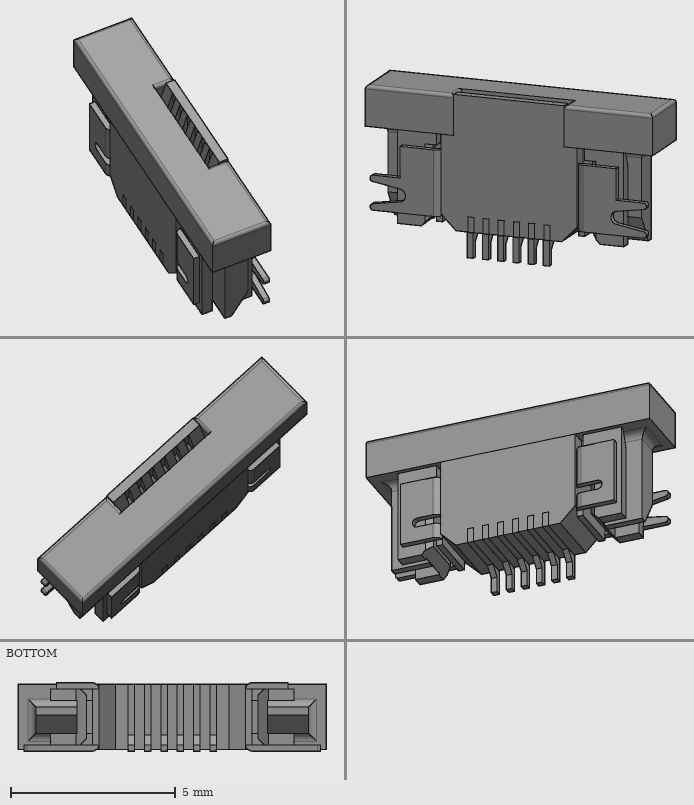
import cadquery as cq
import math


TOTAL_DEPTH = 2.1
CORE_HALF_DEPTH = 1.0
HOUSING_TOP = 4.305
SHOULDER_Z = 3.01

BAR_LENGTH = 9.4
BAR_ROUND = 0.11
NOTCH_FRONT_Y = 0.3
NOTCH_HALF_WIDTH = 1.805
LEG_OUTER_X = 4.155
LEG_FRONT_Y = -0.3
LEG_FLARE = 0.24
LEG_CUT_DEPTH = 0.56
LEG_CUT_HEIGHT = 0.865

CORE_HALF_WIDTH = 2.23
CORE_CHAMFER = 0.5
WALL_FRONT_Y = 0.7
GROOVE_RISE = 0.48

WING_OUTER_X = 3.7
WING_INNER_X = 2.61
WING_CHAMFER = 0.32
WING_BEVEL_WIDTH = 0.19
WING_BEVEL_DEPTH = 0.19
SLOT_FLOOR_X = 2.9
SLOT_HALF_DEPTH = 0.5
SLOT_LEAD_HEIGHT = 0.545
RECESS_Z = 2.18
RECESS_DEPTH = 0.09
OVERHANG_Z = 2.6

SHEET = 0.2
TAB_OUTER_X = 3.53
TAB_BOTTOM = 0.395
TAB_TOP = 2.5
TAB_BEND = 0.23
WEB_BOTTOM = 0.2
TAB_SLOT_END_X = 3.14
TAB_SLOT_Z = 1.04
TAB_SLOT_WIDTH = 0.31
PRONG_TIP_X = 4.52
PRONG_TOP = 1.5
PRONG_TIP_ROUND = 0.09
PRONG_MOUTH = 0.73
PRONG_THROAT = 0.4

CONTACT_COUNT = 6
CONTACT_PITCH = 0.5
CONTACT_WIDTH = 0.2
CONTACT_HEIGHT = 0.48
TAIL_BOTTOM = -0.8
GUSSET = 0.3

TAB_FACE_Y = TOTAL_DEPTH / 2
WING_HALF_DEPTH = TAB_FACE_Y - SHEET
WEB_OUTER_X = CORE_HALF_WIDTH + SHEET
WEB_TOP = TAB_SLOT_Z - TAB_SLOT_WIDTH / 2
CONTACT_XS = [(i - (CONTACT_COUNT - 1) / 2) * CONTACT_PITCH for i in range(CONTACT_COUNT)]


def block(x0, x1, y0, y1, z0, z1):
    """Box between two opposite corners."""
    return cq.Workplane("XY").box(x1 - x0, y1 - y0, z1 - z0, centered=False).translate((x0, y0, z0))


def extrude_along_x(points, x0, x1):
    """Prism with a (Y, Z) outline between two X positions."""
    return cq.Workplane("YZ").workplane(offset=x0).polyline(points).close().extrude(x1 - x0)


def extrude_along_y(points, y0, y1):
    """Prism with an (X, Z) outline between two Y positions."""
    return cq.Workplane("XZ").workplane(offset=-y1).polyline(points).close().extrude(y1 - y0)


def mirror_x(body):
    """The matching shape on the other side of X = 0."""
    return body.mirror("YZ")


def make_bar():
    half = BAR_LENGTH / 2
    bar = block(-half, half, -CORE_HALF_DEPTH, CORE_HALF_DEPTH, SHOULDER_Z, HOUSING_TOP)
    notch = block(-NOTCH_HALF_WIDTH, NOTCH_HALF_WIDTH, NOTCH_FRONT_Y, CORE_HALF_DEPTH,
                  SHOULDER_Z, HOUSING_TOP)
    bar = bar.cut(notch)
    notch_front_edge = cq.selectors.NearestToPointSelector((0, NOTCH_FRONT_Y, HOUSING_TOP))
    rim = bar.faces(">Z").edges(cq.selectors.InverseSelector(notch_front_edge))
    return rim.fillet(BAR_ROUND)


def make_left_leg():
    leg = block(-LEG_OUTER_X, -SLOT_FLOOR_X, LEG_FRONT_Y, SLOT_HALF_DEPTH, 0, SHOULDER_Z)
    foot_cut = [(SLOT_HALF_DEPTH, 0), (SLOT_HALF_DEPTH, LEG_CUT_HEIGHT),
                (SLOT_HALF_DEPTH - LEG_CUT_DEPTH, 0)]
    return leg.cut(extrude_along_x(foot_cut, -LEG_OUTER_X, -SLOT_FLOOR_X))


def make_slider():
    left_leg = make_left_leg()
    slider = make_bar().union(left_leg).union(mirror_x(left_leg))
    margin = 0.01
    for side in (-1, 1):
        outer_x = side * (LEG_OUTER_X + margin)
        inner_x = side * (SLOT_FLOOR_X + margin)
        root = cq.selectors.BoxSelector(
            (min(outer_x, inner_x), LEG_FRONT_Y - margin, SHOULDER_Z - margin),
            (max(outer_x, inner_x), SLOT_HALF_DEPTH + margin, SHOULDER_Z + margin))
        slider = slider.edges(root).fillet(LEG_FLARE)
    return slider


def make_core():
    core = block(-CORE_HALF_WIDTH, CORE_HALF_WIDTH, -CORE_HALF_DEPTH, CORE_HALF_DEPTH, 0, SHOULDER_Z)
    return core.edges("|Y and <Z").chamfer(CORE_CHAMFER)


def make_rear_wall():
    outline = [(CORE_HALF_DEPTH, SHOULDER_Z), (CORE_HALF_DEPTH, HOUSING_TOP),
               (WALL_FRONT_Y, HOUSING_TOP), (NOTCH_FRONT_Y, SHOULDER_Z)]
    wall = extrude_along_x(outline, -NOTCH_HALF_WIDTH, NOTCH_HALF_WIDTH)
    groove = [(WALL_FRONT_Y, HOUSING_TOP), (WALL_FRONT_Y, SHOULDER_Z + GROOVE_RISE),
              (NOTCH_FRONT_Y, SHOULDER_Z)]
    for x in CONTACT_XS:
        wall = wall.cut(extrude_along_x(groove, x - CONTACT_WIDTH / 2, x + CONTACT_WIDTH / 2))
    return wall


def make_left_wing():
    corner_x = -WING_INNER_X - WING_CHAMFER
    outline = [(-WING_OUTER_X, 0), (corner_x, 0), (-WING_INNER_X, WING_CHAMFER),
               (-WING_INNER_X, OVERHANG_Z), (-WEB_OUTER_X, OVERHANG_Z),
               (-WEB_OUTER_X, SHOULDER_Z), (-WING_OUTER_X, SHOULDER_Z)]
    wing = extrude_along_y(outline, -WING_HALF_DEPTH, WING_HALF_DEPTH)

    for side in (-1, 1):
        face_y = side * WING_HALF_DEPTH
        bevel = [(-WING_INNER_X, face_y), (-WING_INNER_X - WING_BEVEL_WIDTH, face_y),
                 (-WING_INNER_X, face_y - side * WING_BEVEL_DEPTH)]
        wing = wing.cut(cq.Workplane("XY").polyline(bevel).close().extrude(OVERHANG_Z))

    mouth_half_depth = SLOT_HALF_DEPTH + LEG_FLARE
    lead_z = SHOULDER_Z - SLOT_LEAD_HEIGHT
    slot = [(-SLOT_HALF_DEPTH, 0), (SLOT_HALF_DEPTH, 0), (SLOT_HALF_DEPTH, lead_z),
            (mouth_half_depth, SHOULDER_Z), (-mouth_half_depth, SHOULDER_Z), (-SLOT_HALF_DEPTH, lead_z)]
    wing = wing.cut(extrude_along_x(slot, -WING_OUTER_X, -SLOT_FLOOR_X))
    recess = extrude_along_x(slot, -SLOT_FLOOR_X, -SLOT_FLOOR_X + RECESS_DEPTH)
    recess = recess.intersect(block(-WING_OUTER_X, 0, -WING_HALF_DEPTH, WING_HALF_DEPTH,
                                    RECESS_Z, SHOULDER_Z))
    wing = wing.cut(recess)

    rib = block(-WING_INNER_X, -CORE_HALF_WIDTH, -SLOT_HALF_DEPTH, SLOT_HALF_DEPTH, RECESS_Z, SHOULDER_Z)
    return wing.union(rib)


def make_housing():
    left_wing = make_left_wing()
    housing = make_core().union(make_rear_wall()).union(left_wing).union(mirror_x(left_wing))
    for x in CONTACT_XS:
        channel = block(x - CONTACT_WIDTH / 2, x + CONTACT_WIDTH / 2,
                        -CORE_HALF_DEPTH, CORE_HALF_DEPTH, 0, CONTACT_HEIGHT)
        housing = housing.cut(channel)
    return housing


def make_prong_strip():
    """Rear strip that runs outwards from the tab, before the notch divides it into prongs."""
    outline = [(-PRONG_TIP_X, TAB_BOTTOM), (-TAB_SLOT_END_X, TAB_BOTTOM),
               (-TAB_SLOT_END_X, PRONG_TOP), (-PRONG_TIP_X, PRONG_TOP)]
    return extrude_along_y(outline, WING_HALF_DEPTH, TAB_FACE_Y)


def make_prong_notch():
    """Tapered notch between the prongs, with a round end tangent to its sides."""
    middle_z = (PRONG_TOP + TAB_BOTTOM) / 2
    half_mouth = PRONG_MOUTH / 2
    half_throat = PRONG_THROAT / 2
    throat_x = -TAB_OUTER_X
    taper = math.atan2(half_mouth - half_throat, PRONG_TIP_X - TAB_OUTER_X)
    end_radius = half_throat / math.cos(taper)
    end_x = throat_x + end_radius * (1 - math.sin(taper))
    return (cq.Workplane("XZ").workplane(offset=-TAB_FACE_Y)
            .moveTo(-PRONG_TIP_X, middle_z + half_mouth)
            .lineTo(throat_x, middle_z + half_throat)
            .threePointArc((end_x, middle_z), (throat_x, middle_z - half_throat))
            .lineTo(-PRONG_TIP_X, middle_z - half_mouth)
            .close().extrude(SHEET))


def make_left_tab():
    tab = block(-TAB_OUTER_X, -CORE_HALF_WIDTH, -TAB_FACE_Y, TAB_FACE_Y, TAB_BOTTOM, TAB_TOP)
    tab = tab.edges("|Z and >X").fillet(TAB_BEND)
    gap = block(-TAB_OUTER_X, -CORE_HALF_WIDTH, -WING_HALF_DEPTH, WING_HALF_DEPTH, TAB_BOTTOM, TAB_TOP)
    web = block(-WEB_OUTER_X, -CORE_HALF_WIDTH, -WING_HALF_DEPTH, WING_HALF_DEPTH, WEB_BOTTOM, WEB_TOP)
    tab = tab.cut(gap).union(web)

    slot_radius = TAB_SLOT_WIDTH / 2
    slot_centre_x = -TAB_SLOT_END_X + slot_radius
    slot = block(slot_centre_x, -CORE_HALF_WIDTH, -TAB_FACE_Y, -WING_HALF_DEPTH,
                 TAB_SLOT_Z - slot_radius, TAB_SLOT_Z + slot_radius)
    slot_end = (cq.Workplane("XZ").workplane(offset=WING_HALF_DEPTH)
                .center(slot_centre_x, TAB_SLOT_Z).circle(slot_radius).extrude(SHEET))
    tab = tab.cut(slot).cut(slot_end)

    tab = tab.union(make_prong_strip()).cut(make_prong_notch())
    return tab.edges("|Y and <X").fillet(PRONG_TIP_ROUND)


def make_contact(x):
    tail_front_y = TAB_FACE_Y - SHEET
    outline = [(-CORE_HALF_DEPTH, 0), (-CORE_HALF_DEPTH, CONTACT_HEIGHT),
               (CORE_HALF_DEPTH, CONTACT_HEIGHT), (CORE_HALF_DEPTH, 0), (TAB_FACE_Y, 0),
               (TAB_FACE_Y, TAIL_BOTTOM), (tail_front_y, TAIL_BOTTOM),
               (tail_front_y, -GUSSET), (tail_front_y - GUSSET, 0)]
    return extrude_along_x(outline, x - CONTACT_WIDTH / 2, x + CONTACT_WIDTH / 2)


housing = make_housing()
slider = make_slider()
left_tab = make_left_tab()
right_tab = mirror_x(left_tab)
contacts = [make_contact(x) for x in CONTACT_XS]

result = cq.Compound.makeCompound([
    housing.val(),
    slider.val(),
    left_tab.val(),
    right_tab.val(),
    *[contact.val() for contact in contacts],
])